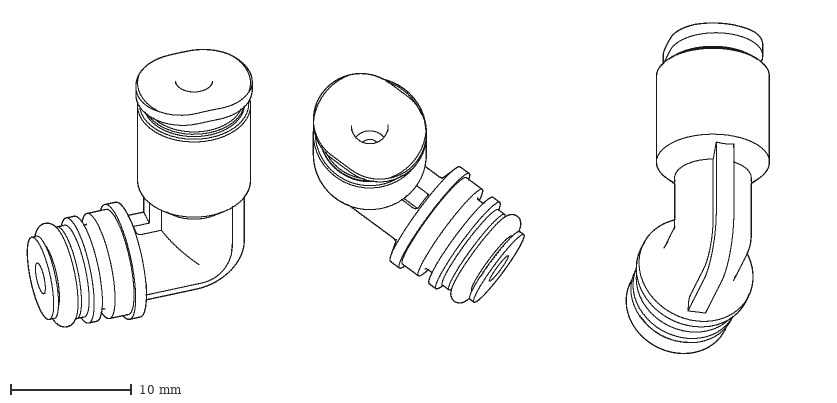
import cadquery as cq
import math


neck_radius = 3.18
body_radius = 9.4 / 2
body_bottom = 7.08
body_top = 15.43
body_chamfer = 0.15
collar_radius = 8.4 / 2
collar_top = 15.83
collar_chamfer = 0.14

flange_radius = 9.75 / 2
button_length = 2 * flange_radius
button_width = 7.8
button_top = 23.07 - flange_radius
button_bottom = button_top - 1.52
button_rim_radius = 4.68
button_rim_top = button_top - 0.48
button_rim_drop = 0.14
stem_radius = 4.45 / 2
stem_fillet = 0.3

tube_radius = 3.05 / 2
tube_lip = 0.32
tube_floor = 9.23
passage_radius = 1.6 / 2

rib_thickness = 1.5
rib_reach = 4.15
rib_top = 7.38
rib_front = -6

spigot_end = flange_radius - 18.3
neck_flare_start = -4.82
flare_start = -5.3
flare_radius = 3.5
flange_back = -5.77
flange_front = -6.71
land_radius = 8.93 / 2
first_land_end = -8.37
groove_radius = 7.15 / 2
groove_fillet = 0.28
groove_end = -9.48
second_land_end = -10.2
third_land_radius = 7.8 / 2
third_land_start = -10.45
third_land_end = -11.12
core_radius = 5.65 / 2
core_fillet = 0.28
ring_back = -11.42
ring_front = -12.7
ring_radius = 8.8 / 2
ring_shoulder_radius = 7.8 / 2
end_radius = 7.0 / 2
end_flange_back = -12.99
end_fillet = 0.15
port_radius = 2.6 / 2
port_depth = 6.92
port_cone_angle = 60


def revolve_z(profile):
    """Turn an XZ half profile about the Z axis."""
    return profile.close().revolve(360, (0, 0, 0), (0, 1, 0))


def revolve_y(profile):
    """Turn an XY half profile about the Y axis."""
    return profile.close().revolve(360, (0, 0, 0), (0, 1, 0))


def make_socket():
    return revolve_z(
        cq.Workplane("XZ")
        .lineTo(neck_radius, 0)
        .lineTo(neck_radius, body_bottom - (body_radius - neck_radius))
        .lineTo(body_radius, body_bottom)
        .lineTo(body_radius, body_top - body_chamfer)
        .lineTo(body_radius - body_chamfer, body_top)
        .lineTo(collar_radius, body_top)
        .lineTo(collar_radius, collar_top - collar_chamfer)
        .lineTo(collar_radius - collar_chamfer, collar_top)
        .lineTo(0, collar_top)
    )


def make_button():
    disc = revolve_z(
        cq.Workplane("XZ")
        .moveTo(0, button_bottom)
        .lineTo(flange_radius, button_bottom)
        .lineTo(flange_radius, button_rim_top - button_rim_drop)
        .lineTo(button_rim_radius, button_rim_top)
        .lineTo(tube_radius + tube_lip, button_top)
        .lineTo(0, button_top)
    )
    outline = (
        cq.Workplane("XY", origin=(0, 0, button_bottom))
        .slot2D(button_length, button_width, 90)
        .extrude(button_top - button_bottom)
    )
    fillet_edge = button_bottom - stem_fillet
    stem = revolve_z(
        cq.Workplane("XZ")
        .moveTo(0, body_top)
        .lineTo(stem_radius, body_top)
        .lineTo(stem_radius, fillet_edge)
        .radiusArc((stem_radius + stem_fillet, button_bottom), stem_fillet)
        .lineTo(0, button_bottom)
    )
    return disc.intersect(outline).union(stem)


def make_rib():
    corner = rib_reach * math.sqrt(0.5)
    return (
        cq.Workplane("YZ")
        .moveTo(rib_reach, rib_top)
        .lineTo(rib_reach, 0)
        .threePointArc((corner, -corner), (0, -rib_reach))
        .lineTo(rib_front, -rib_reach)
        .lineTo(rib_front, rib_reach)
        .lineTo(-rib_reach, rib_reach)
        .lineTo(-rib_reach, rib_top)
        .close()
        .extrude(rib_thickness / 2, both=True)
    )


def make_spigot():
    ring_middle = (ring_back + ring_front) / 2
    return revolve_y(
        cq.Workplane("XY")
        .lineTo(neck_radius, 0)
        .lineTo(neck_radius, neck_flare_start)
        .tangentArcPoint((flare_radius, flare_start), relative=False)
        .lineTo(flange_radius, flange_back)
        .lineTo(flange_radius, flange_front)
        .lineTo(land_radius, flange_front)
        .lineTo(land_radius, first_land_end)
        .lineTo(groove_radius + groove_fillet, first_land_end)
        .radiusArc((groove_radius, first_land_end - groove_fillet), -groove_fillet)
        .lineTo(groove_radius, groove_end + groove_fillet)
        .radiusArc((groove_radius + groove_fillet, groove_end), -groove_fillet)
        .lineTo(land_radius, groove_end)
        .lineTo(land_radius, second_land_end)
        .lineTo(third_land_radius, third_land_start)
        .lineTo(third_land_radius, third_land_end)
        .lineTo(core_radius + core_fillet, third_land_end)
        .radiusArc((core_radius, third_land_end - core_fillet), -core_fillet)
        .lineTo(core_radius, ring_back)
        .lineTo(ring_shoulder_radius, ring_back)
        .threePointArc((ring_radius, ring_middle), (ring_shoulder_radius, ring_front))
        .lineTo(core_radius, ring_front)
        .lineTo(core_radius, end_flange_back + end_fillet)
        .radiusArc((core_radius + end_fillet, end_flange_back), -end_fillet)
        .lineTo(end_radius, end_flange_back)
        .lineTo(end_radius, spigot_end)
        .lineTo(0, spigot_end)
    )


def make_tube_bore():
    return revolve_z(
        cq.Workplane("XZ")
        .lineTo(passage_radius, 0)
        .lineTo(passage_radius, tube_floor)
        .lineTo(tube_radius, tube_floor)
        .lineTo(tube_radius, button_top - tube_lip)
        .radiusArc((tube_radius + tube_lip, button_top), tube_lip)
        .lineTo(0, button_top)
    )


def make_port_bore():
    cone_start = spigot_end + port_depth
    cone_depth = (port_radius - passage_radius) / math.tan(math.radians(port_cone_angle / 2))
    return revolve_y(
        cq.Workplane("XY")
        .lineTo(passage_radius, 0)
        .lineTo(passage_radius, cone_start + cone_depth)
        .lineTo(port_radius, cone_start)
        .lineTo(port_radius, spigot_end)
        .lineTo(0, spigot_end)
    )


elbow_corner = cq.Workplane("XY").sphere(neck_radius)
passage_corner = cq.Workplane("XY").sphere(passage_radius)

solid_fitting = (
    make_socket()
    .union(make_spigot())
    .union(elbow_corner)
    .union(make_rib())
    .union(make_button())
)
result = solid_fitting.cut(make_tube_bore()).cut(make_port_bore()).cut(passage_corner)